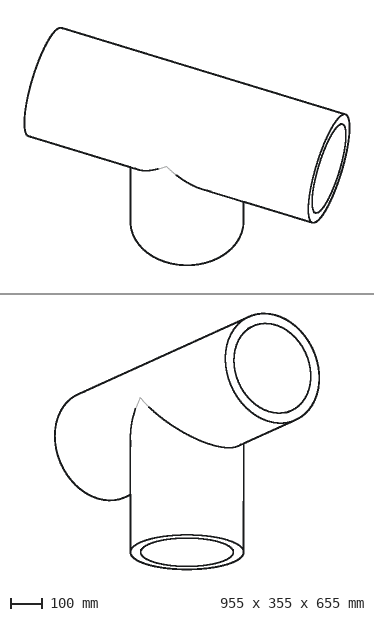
import cadquery as cq

run_length = 955.0
outer_diameter = 355.0
bore_diameter = 290.0
branch_reach = run_length / 2


def run_cylinder(diameter):
    """Cylinder along X, centred on the origin."""
    return cq.Workplane("YZ").circle(diameter / 2).extrude(run_length / 2, both=True)


def branch_cylinder(diameter):
    """Cylinder from the run axis down to the end of the branch."""
    return cq.Workplane("XY").circle(diameter / 2).extrude(-branch_reach)


def tee_volume(diameter):
    """Run and branch cylinders of one diameter joined into a tee."""
    return run_cylinder(diameter).union(branch_cylinder(diameter))


result = tee_volume(outer_diameter).cut(tee_volume(bore_diameter))